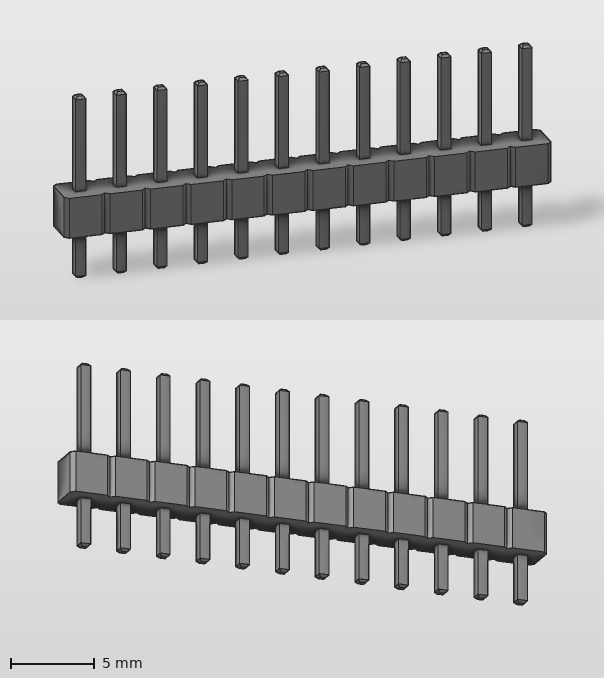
import cadquery as cq

pin_count = 12
row_length = 30.48
pin_width = 0.65
pin_length_above = 6.0
pin_length_below = pin_length_above / 2
tip_chamfer = 0.15

pitch = row_length / pin_count
body_height = pitch
corner_chamfer = pitch / 10
first_pin_y = (pitch - row_length) / 2
pin_positions = [(0, first_pin_y + i * pitch) for i in range(pin_count)]


def housing_cell():
    """Square block with its four upright edges chamfered, base at Z = 0."""
    block = cq.Workplane("XY").box(pitch, pitch, body_height, centered=(True, True, False))
    return block.edges("|Z").chamfer(corner_chamfer)


def pin():
    """Square pin running through the cell, bevelled at both tips."""
    length = pin_length_below + body_height + pin_length_above
    base = cq.Workplane("XY", origin=(0, 0, -pin_length_below))
    bar = base.box(pin_width, pin_width, length, centered=(True, True, False))
    return bar.faces("<Z or >Z").chamfer(tip_chamfer)


unit = housing_cell().union(pin()).val()
row = cq.Workplane("XY").pushPoints(pin_positions).eachpoint(lambda place: unit.moved(place))
result = row.combine(clean=True).solids()